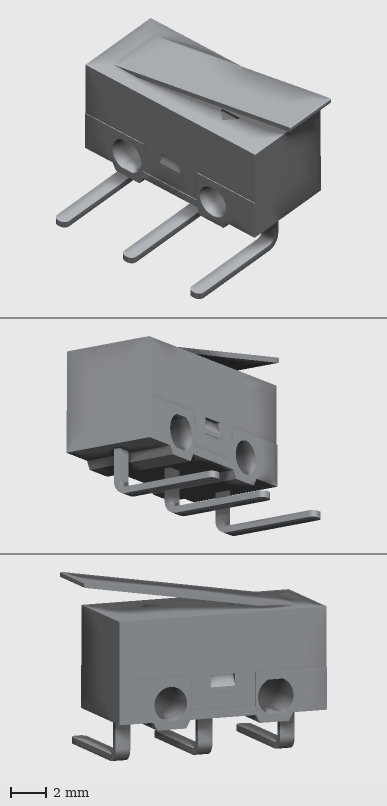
import cadquery as cq
import math


overall_length = 14.53
overall_depth = 9.6

case_length = 12.79
case_height = 6.0
base_width = 5.8
base_height = 2.5
cover_step = 0.05
cover_width = base_width - 2 * cover_step

tab_width = 4.04
tab_bottom = 0.5

window_width = 1.48
window_bottom = 1.51
tooth_face_height = 0.29
tooth_slope_depth = 0.32

hole_diameter = 2.0
hole_spacing = 6.48
hole_height = hole_diameter / 2
wide_hole_diameter = 2.2
foot_top_width = 2.3
foot_bottom_width = 1.77
foot_height = 0.48
foot_offset = (tab_width + foot_top_width) / 2

terminal_pitch = 5.07
terminal_width = 0.9
terminal_thickness = 0.39
terminal_bottom = -2.75
terminal_tip = base_width / 2 - overall_depth
terminal_bend_radius = 0.4
terminal_tip_radius = 0.38
terminal_embed = 0.44

centre_offset = -0.01
lever_angle = 9.5
lever_thickness = 0.3
lever_width = 3.59
lever_start = -5.19
lever_tip = overall_length - case_length / 2
lever_embed = 0.87
lever_tip_radius = 0.07
button_centre = -1.96
button_width = 1.02
button_height = 0.3
button_depth = 1.45

mark_centre = 2.86
mark_half_length = 0.65
mark_tip = -1.63
mark_side = 0.13
mark_depth = 0.17


def side_prism(outline, width, centre=0.0):
    """Extrude a closed XZ outline symmetrically about Y = centre."""
    solid = cq.Workplane("XZ").polyline(outline).close().extrude(width / 2, both=True)
    return solid.translate((0, centre, 0))


def make_case():
    base = cq.Workplane("XY").box(case_length, base_width, base_height, centered=(True, True, False))
    cover = cq.Workplane("XY").box(case_length, cover_width, case_height, centered=(True, True, False))
    case = base.union(cover)
    for side in (-1, 1):
        tab_recess = (
            cq.Workplane("XY")
            .box(tab_width, 2 * cover_step, base_height - tab_bottom, centered=(True, True, False))
            .translate((0, side * base_width / 2, tab_bottom))
        )
        case = case.cut(tab_recess)
    return case


def make_feet():
    feet = cq.Workplane("XY")
    for side in (-1, 1):
        centre = side * foot_offset
        outline = [
            (centre - foot_top_width / 2, 0),
            (centre - foot_bottom_width / 2, -foot_height),
            (centre + foot_bottom_width / 2, -foot_height),
            (centre + foot_top_width / 2, 0),
        ]
        feet = feet.add(side_prism(outline, base_width))
    return feet.combine()


def make_mounting_holes():
    def bore(centre, diameter):
        return (
            cq.Workplane("XZ")
            .center(centre, hole_height)
            .circle(diameter / 2)
            .extrude(base_width, both=True)
        )

    left = -hole_spacing / 2
    flats = (
        cq.Workplane("XY")
        .box(wide_hole_diameter, 2 * base_width, hole_diameter)
        .translate((left, 0, hole_height))
    )
    wide_hole = bore(left, wide_hole_diameter).intersect(flats)
    return wide_hole.union(bore(-left, hole_diameter))


def add_latch(case):
    """Open the window in both tabs and put the sloped tooth of the base into it."""
    window_height = base_height - window_bottom
    floor = cover_width / 2 - tooth_slope_depth
    tooth_outline = [
        (floor, window_bottom),
        (base_width / 2, window_bottom),
        (base_width / 2, window_bottom + tooth_face_height),
        (floor, base_height),
    ]
    window = (
        cq.Workplane("XY")
        .box(window_width, 2 * tooth_slope_depth, window_height, centered=(True, True, False))
        .translate((0, cover_width / 2, window_bottom))
    )
    tooth = cq.Workplane("YZ").polyline(tooth_outline).close().extrude(window_width / 2, both=True)
    case = case.cut(window).union(tooth)
    return case.cut(window.mirror("XZ")).union(tooth.mirror("XZ"))


def make_terminal(x):
    back = centre_offset + terminal_thickness / 2
    front = back - terminal_thickness
    upper = terminal_bottom + terminal_thickness
    terminal = (
        cq.Workplane("YZ")
        .moveTo(back, terminal_embed)
        .lineTo(back, terminal_bottom)
        .lineTo(terminal_tip, terminal_bottom)
        .lineTo(terminal_tip, upper)
        .lineTo(front, upper)
        .lineTo(front, terminal_embed)
        .close()
        .extrude(terminal_width / 2, both=True)
    )
    inner_bend = cq.selectors.NearestToPointSelector((0, front, upper))
    terminal = terminal.edges(inner_bend).fillet(terminal_bend_radius)
    outer_bend = cq.selectors.NearestToPointSelector((0, back, terminal_bottom))
    terminal = terminal.edges(outer_bend).fillet(terminal_bend_radius + terminal_thickness)
    terminal = terminal.faces("<Y").edges("|Z").fillet(terminal_tip_radius)
    return terminal.translate((x, 0, 0))


def make_lever():
    """A sloping strip, cut off vertically at its free end and running a little way into the case."""
    slope = math.tan(math.radians(lever_angle))
    drop = lever_thickness / math.cos(math.radians(lever_angle))
    root = lever_start - lever_embed
    root_top = case_height - lever_embed * slope
    tip_top = case_height + (lever_tip - lever_start) * slope
    outline = [
        (root, root_top),
        (lever_tip, tip_top),
        (lever_tip, tip_top - drop),
        (root, root_top - drop),
    ]
    lever = side_prism(outline, lever_width, centre_offset)
    return lever.faces(">X").edges("|Y").fillet(lever_tip_radius)


def make_button():
    left = button_centre - button_width / 2
    button = (
        cq.Workplane("XZ")
        .moveTo(left, case_height)
        .threePointArc((button_centre, case_height + button_height), (left + button_width, case_height))
        .close()
        .extrude(button_depth / 2, both=True)
    )
    return button.translate((0, centre_offset, 0))


def make_mark():
    shoulder = mark_tip + mark_half_length
    left = mark_centre - mark_half_length
    right = mark_centre + mark_half_length
    outline = [
        (left, shoulder + mark_side),
        (left, shoulder),
        (mark_centre, mark_tip),
        (right, shoulder),
        (right, shoulder + mark_side),
    ]
    floor = cq.Workplane("XY").workplane(offset=case_height - mark_depth)
    return floor.polyline(outline).close().extrude(mark_depth)


result = make_case().union(make_feet()).cut(make_mounting_holes())
result = add_latch(result).cut(make_mark())
for index in (-1, 0, 1):
    result = result.union(make_terminal(index * terminal_pitch))
result = result.union(make_lever()).union(make_button())